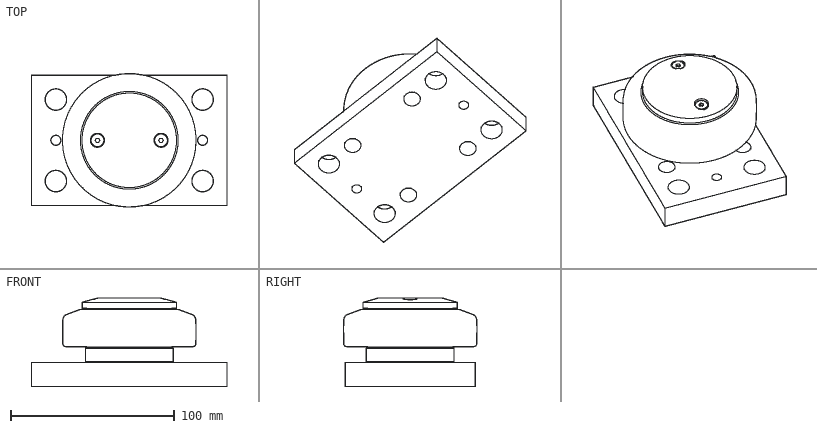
import cadquery as cq
import math

plate_length = 120.0
plate_width = 80.0
plate_thickness = 15.0

hole_row_x = 45.0
mount_hole_diameter = 13.0
mount_hole_y = 25.0
dowel_hole_diameter = 6.0
inner_hole_diameter = 10.11
inner_hole_offset = 25.0

overall_height = 54.5
stem_diameter = 54.0
core_diameter = 52.0
side_gap = 0.5
stem_chamfer = 0.5

roller_diameter = 82.0
roller_bottom_z = 24.5
roller_top_z = 47.5
roller_top_diameter = 60.0
roller_cone_angle = 20.0
crown_radius = 250.0
crown_centre_z = 33.6
top_edge_radius = 4.0
bottom_edge_radius = 2.0

disc_diameter = 58.0
disc_flat_diameter = 39.0
disc_rim_z = 51.8

screw_x = disc_flat_diameter / 2
recess_diameter = 8.6
recess_depth = 2.0
screw_head_diameter = 7.8
screw_head_drop = 1.0
socket_across_flats = 2.5
socket_depth = 1.5

stem_top_z = roller_bottom_z - side_gap
disc_bottom_z = roller_top_z + side_gap


def four_corners(x, y):
    return [(-x, -y), (x, -y), (x, y), (-x, y)]


def make_plate():
    """Rectangular plate with mounting, dowel and inner through holes."""
    plate = cq.Workplane("XY").box(plate_length, plate_width, plate_thickness, centered=(True, True, False))
    hole_sets = [
        (mount_hole_diameter, four_corners(hole_row_x, mount_hole_y)),
        (dowel_hole_diameter, [(-hole_row_x, 0), (hole_row_x, 0)]),
        (inner_hole_diameter, four_corners(inner_hole_offset, inner_hole_offset)),
    ]
    for diameter, places in hole_sets:
        holes = cq.Workplane("XY").pushPoints(places).circle(diameter / 2).extrude(plate_thickness)
        plate = plate.cut(holes)
    return plate


def make_cylinder(diameter, bottom_z, top_z):
    return cq.Workplane("XY").workplane(offset=bottom_z).circle(diameter / 2).extrude(top_z - bottom_z)


def make_stem():
    """Round stem chamfered at both ends."""
    stem = make_cylinder(stem_diameter, plate_thickness, stem_top_z)
    return stem.edges().chamfer(stem_chamfer)


def crown_r(z):
    """Radius of the crowned rolling surface at height z."""
    crown_axis_r = roller_diameter / 2 - crown_radius
    return crown_axis_r + math.sqrt(crown_radius**2 - (z - crown_centre_z) ** 2)


def make_roller():
    """Crowned roller with a conical top, both outer edges rounded."""
    top_r = roller_top_diameter / 2
    cone_run = roller_diameter / 2 - top_r
    shoulder_z = roller_top_z - cone_run * math.tan(math.radians(roller_cone_angle))
    profile = (
        cq.Workplane("XZ")
        .moveTo(0, roller_bottom_z)
        .lineTo(crown_r(roller_bottom_z), roller_bottom_z)
        .threePointArc((roller_diameter / 2, crown_centre_z), (crown_r(shoulder_z), shoulder_z))
        .lineTo(top_r, roller_top_z)
        .lineTo(0, roller_top_z)
        .close()
    )
    roller = profile.revolve(360, (0, 0), (0, 1))
    shoulder_edge = cq.selectors.NearestToPointSelector((0, 0, shoulder_z))
    roller = roller.edges(shoulder_edge).fillet(top_edge_radius)
    return roller.faces("<Z").edges().fillet(bottom_edge_radius)


def make_disc():
    """Cover disc with a flat centre and a conical outer band."""
    rim_r = disc_diameter / 2
    profile = (
        cq.Workplane("XZ")
        .moveTo(0, disc_bottom_z)
        .lineTo(rim_r, disc_bottom_z)
        .lineTo(rim_r, disc_rim_z)
        .lineTo(disc_flat_diameter / 2, overall_height)
        .lineTo(0, overall_height)
        .close()
    )
    return profile.revolve(360, (0, 0), (0, 1))


def add_screw(body, x):
    """Round recess holding a screw head with a hexagon socket."""
    recess_floor_z = overall_height - recess_depth
    head_top_z = overall_height - screw_head_drop
    recess = make_cylinder(recess_diameter, recess_floor_z, overall_height)
    head = make_cylinder(screw_head_diameter, recess_floor_z, head_top_z)
    socket_sides = 6
    socket_across_corners = socket_across_flats / math.cos(math.pi / socket_sides)
    socket = (
        cq.Workplane("XY")
        .workplane(offset=head_top_z)
        .polygon(socket_sides, socket_across_corners)
        .extrude(-socket_depth)
    )
    place = (x, 0, 0)
    return body.cut(recess.translate(place)).union(head.translate(place)).cut(socket.translate(place))


stem = make_stem()
core = make_cylinder(core_diameter, plate_thickness, disc_bottom_z)

result = make_plate().union(stem).union(core).union(make_roller()).union(make_disc())
for side in (-1, 1):
    result = add_screw(result, side * screw_x)